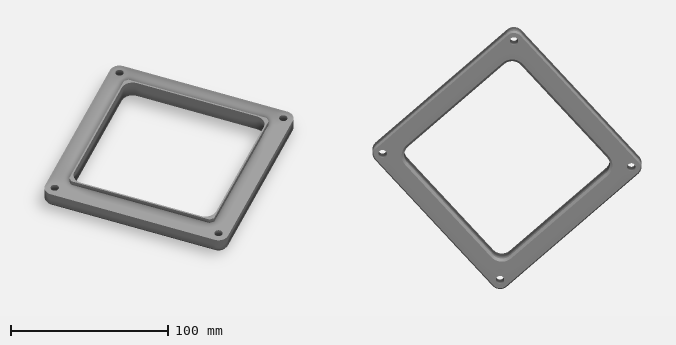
import cadquery as cq

frame_side = 125.0
frame_height = 10.0
frame_corner_radius = 6.5
outer_chamfer_height = 1.6
outer_chamfer_width = 1.0

opening_side = 97.0
opening_corner_radius = 7.5

opening_chamfer = 1.6

overall_height = 13.01
lip_height = overall_height - frame_height
lip_side = 99.0
lip_corner_chamfer = 2.25

hole_diameter = 5.3
hole_spacing = frame_side - 2 * frame_corner_radius


def make_opening():
    """Rounded square cutter running the full height of the part."""
    cutter = cq.Workplane("XY").rect(opening_side, opening_side).extrude(overall_height)
    return cutter.edges("|Z").fillet(opening_corner_radius)


def make_frame():
    """Rounded square ring, its bottom face chamfered outside and at the opening."""
    plate = cq.Workplane("XY").rect(frame_side, frame_side).extrude(frame_height)
    plate = plate.edges("|Z").fillet(frame_corner_radius)
    plate = plate.faces("<Z").edges().chamfer(outer_chamfer_height, outer_chamfer_width)
    ring = plate.cut(make_opening())
    opening_rim = ring.faces("<Z").edges(cq.selectors.BoxSelector(
        (-lip_side / 2, -lip_side / 2, -opening_chamfer),
        (lip_side / 2, lip_side / 2, opening_chamfer),
        boundingbox=True,
    ))
    return opening_rim.chamfer(opening_chamfer)


def make_lip():
    """Thin upright rim with cut-off outer corners, flush with the opening."""
    block = (
        cq.Workplane("XY")
        .workplane(offset=frame_height)
        .rect(lip_side, lip_side)
        .extrude(lip_height)
    )
    return block.edges("|Z").chamfer(lip_corner_chamfer).cut(make_opening())


def make_holes():
    """Four corner cylinders that cut the through holes."""
    return (
        cq.Workplane("XY")
        .rect(hole_spacing, hole_spacing, forConstruction=True)
        .vertices()
        .circle(hole_diameter / 2)
        .extrude(frame_height)
    )


result = make_frame().union(make_lip()).cut(make_holes())